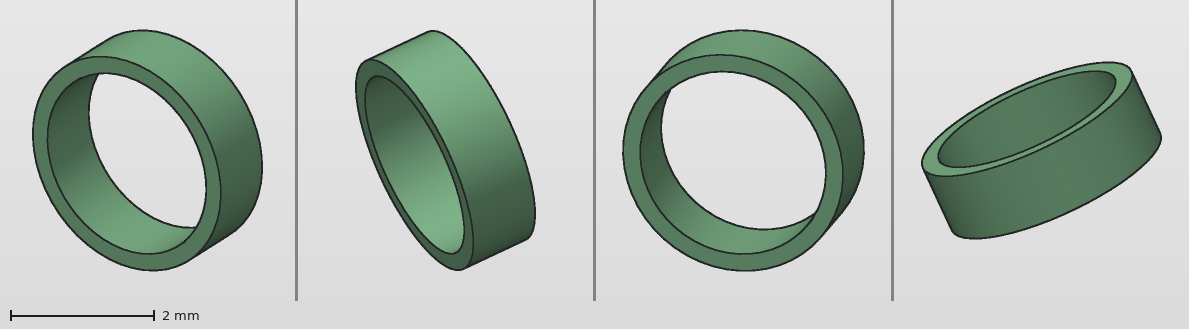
import cadquery as cq

outer_diameter = 3.2
wall_thickness = 0.25
ring_width = 1.0

inner_diameter = outer_diameter - 2 * wall_thickness

end_plane = cq.Plane(origin=(0, -ring_width / 2, 0), xDir=(0, 0, 1), normal=(0, 1, 0))


def make_ring():
    """Annulus extruded along +Y, centred on the origin."""
    return (
        cq.Workplane(end_plane)
        .circle(outer_diameter / 2)
        .circle(inner_diameter / 2)
        .extrude(ring_width)
    )


result = make_ring()